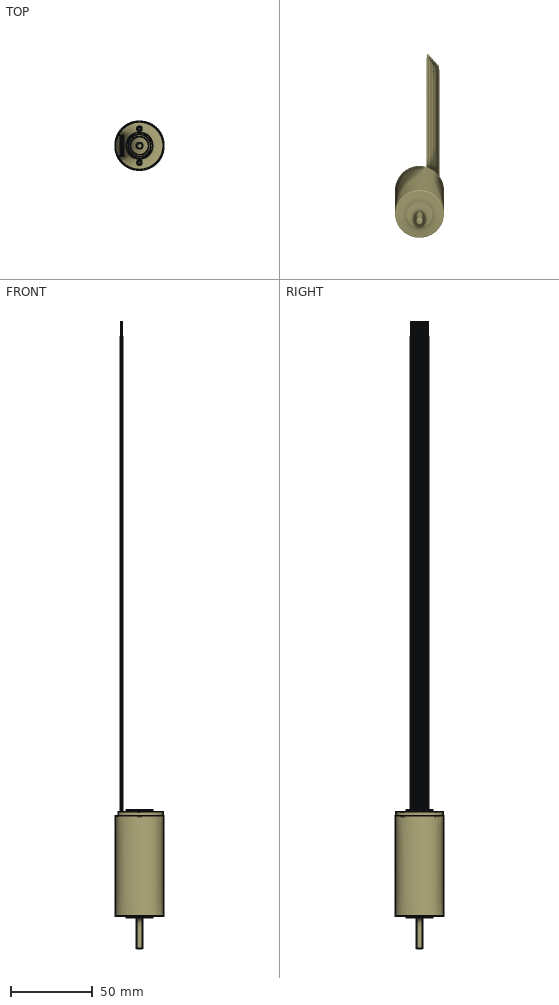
import cadquery as cq

total_length = 384.0

housing_diameter = 30.0
housing_length = 64.0
housing_chamfer = 0.5
cap_diameter = 29.0
cap_length = 2.5
cap_bottom = housing_length - cap_length

collar_diameter = 16.0
collar_height = 0.95
collar_top = housing_length + collar_height

recess_outer_diameter = 14.0
recess_outer_depth = collar_height / 2
recess_inner_diameter = 11.0

shaft_diameter = 4.0
shaft_projection = 20.0
shaft_chamfer = 0.58

hole_diameter = 2.3
hole_depth = 3.0
hole_offset = 10.5
countersink_diameter = 3.0
countersink_angle = 90

slot_width = 13.0
slot_wall_x = -9.5

lead_count = 8
lead_pitch = 1.4
lead_diameter = 1.35
lead_wall_distance = 1.42
lead_x = slot_wall_x - lead_wall_distance
lead_top = total_length - shaft_projection
bare_diameter = 1.0
bare_length = 9.2


def cylinder(diameter, bottom, top):
    return cq.Workplane("XY").workplane(offset=bottom).circle(diameter / 2).extrude(top - bottom)


def make_housing():
    """Outer cylinder, rear cap and the two mounting holes."""
    shell = cylinder(housing_diameter, 0, cap_bottom).faces("<Z").chamfer(housing_chamfer)
    cap = cylinder(cap_diameter, cap_bottom, housing_length)
    return (
        shell.union(cap)
        .faces(">Z")
        .workplane(origin=(0, 0, housing_length))
        .pushPoints([(0, hole_offset), (0, -hole_offset)])
        .cskHole(hole_diameter, countersink_diameter, countersink_angle, hole_depth)
    )


def make_rear_collar():
    collar = cylinder(collar_diameter, housing_length, collar_top)
    outer_recess = cylinder(recess_outer_diameter, collar_top - recess_outer_depth, collar_top)
    inner_recess = cylinder(recess_inner_diameter, housing_length, collar_top)
    return collar.cut(outer_recess).cut(inner_recess)


def make_lead_slot():
    return (
        cq.Workplane("XY")
        .workplane(offset=cap_bottom)
        .moveTo(slot_wall_x - housing_diameter / 2, 0)
        .rect(housing_diameter, slot_width)
        .extrude(cap_length)
    )


def make_motor():
    front_collar = cylinder(collar_diameter, -collar_height, 0)
    front_shaft = cylinder(shaft_diameter, -shaft_projection, 0).faces("<Z").chamfer(shaft_chamfer)
    rear_shaft = cylinder(shaft_diameter, housing_length, collar_top)
    motor = make_housing().cut(make_lead_slot())
    motor = motor.union(front_collar).union(make_rear_collar())
    return motor.union(front_shaft).union(rear_shaft)


def make_lead(y):
    """One lead standing on the slot floor."""
    insulation_top = lead_top - bare_length
    insulation = cylinder(lead_diameter, cap_bottom, insulation_top)
    bare_end = cylinder(bare_diameter, insulation_top, lead_top)
    return insulation.union(bare_end).translate((lead_x, y, 0))


motor = make_motor()

first_lead_y = -(lead_count - 1) / 2 * lead_pitch
leads = [make_lead(first_lead_y + index * lead_pitch) for index in range(lead_count)]

result = cq.Compound.makeCompound([motor.val(), *[lead.val() for lead in leads]])